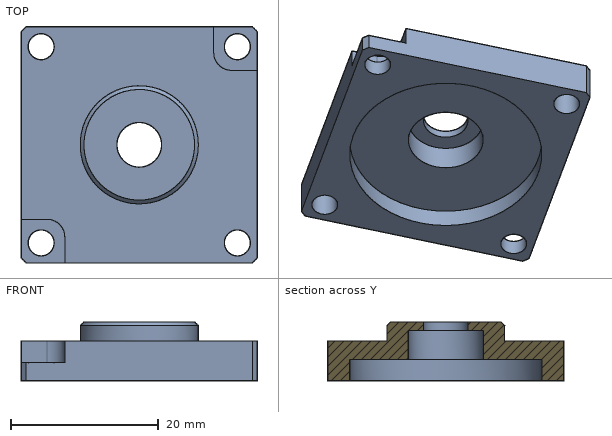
import cadquery as cq

side = 32.0
total_height = 8.0
plate_height = 5.4
corner_chamfer = 0.7

boss_diameter = 16.0
boss_chamfer = 0.5
bore_diameter = 6.0
lip_thickness = 1.2
seat_diameter = 10.1
pocket_diameter = 26.0
pocket_depth = 2.88

screw_diameter = 3.5
screw_offset = 13.28

notch_size = 5.92
notch_depth = 2.95
notch_radius = 2.4


def make_plate():
    """Square plate with its four vertical edges chamfered."""
    plate = cq.Workplane("XY").box(side, side, plate_height, centered=(True, True, False))
    return plate.edges("|Z").chamfer(corner_chamfer)


def make_boss():
    """Round boss on the plate with a chamfered top rim."""
    boss_height = total_height - plate_height
    boss = cq.Workplane("XY", origin=(0, 0, plate_height)).circle(boss_diameter / 2).extrude(boss_height)
    return boss.faces(">Z").edges().chamfer(boss_chamfer)


def make_notch(direction):
    """Corner cutter at +X+Y (direction 1) or -X-Y (-1), rounded at its inner corner."""
    center = direction * (side - notch_size) / 2
    notch = cq.Workplane("XY", origin=(center, center, plate_height - notch_depth))
    notch = notch.rect(notch_size, notch_size).extrude(notch_depth)
    inner_edge = "<X and <Y" if direction > 0 else ">X and >Y"
    return notch.edges("|Z").edges(inner_edge).fillet(notch_radius)


def make_bore():
    """Stepped through bore: shaft hole, wider seat, and a broad pocket open at the bottom."""
    bore = cq.Workplane("XY").circle(bore_diameter / 2).extrude(total_height)
    seat = cq.Workplane("XY").circle(seat_diameter / 2).extrude(total_height - lip_thickness)
    pocket = cq.Workplane("XY").circle(pocket_diameter / 2).extrude(pocket_depth)
    return bore.union(seat).union(pocket)


def make_screw_holes():
    """Four through holes near the plate corners."""
    spacing = 2 * screw_offset
    holes = cq.Workplane("XY").rect(spacing, spacing, forConstruction=True).vertices()
    return holes.circle(screw_diameter / 2).extrude(plate_height)


result = make_plate().union(make_boss())
for direction in (1, -1):
    result = result.cut(make_notch(direction))
result = result.cut(make_bore()).cut(make_screw_holes())